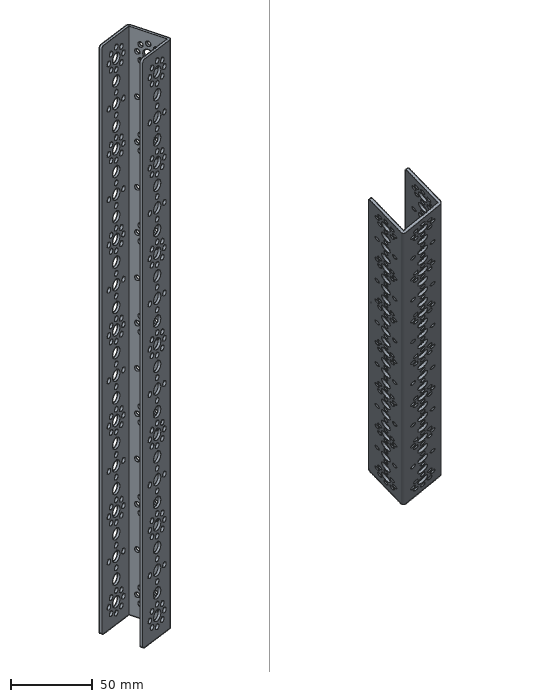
import cadquery as cq

length = 416.0
pitch_count = 26
wall = 2.0
corner_radius = 2.0
large_diameter = 8.0
small_diameter = 3.7

pitch = length / pitch_count
width = 2 * pitch
ring_radius = pitch / 2
diagonal_offset = ring_radius / 2**0.5
drill_depth = width


def channel():
    """U channel with its web on +Y, its open side on -Y and sharp inside corners."""
    outside = cq.Workplane("XY").box(width, width, length).edges("|Z and >Y").fillet(corner_radius)
    inside = cq.Workplane("XY").box(width - 2 * wall, width, length).translate((0, -wall, 0))
    return outside.cut(inside).faces("<Y").edges("|X").fillet(corner_radius)


def large_hole_heights():
    """Z positions of the large holes, one pitch apart and one pitch from each end."""
    return [index * pitch - length / 2 for index in range(1, pitch_count)]


def small_hole_points():
    """Centres of the small holes on one face as (across, along) pairs."""
    heights = large_hole_heights()

    points = [(0, index * pitch + pitch / 2 - length / 2) for index in range(pitch_count)]

    for height in heights[::2]:
        points += [(side * ring_radius, height) for side in (-1, 1)]

    for height in heights[::4]:
        for side in (-1, 1):
            for end in (-1, 1):
                points.append((side * diagonal_offset, height + end * diagonal_offset))
    return points


def drills(plane, points, diameter):
    """Cylinders through the whole channel, perpendicular to the given plane."""
    return cq.Workplane(plane).pushPoints(points).circle(diameter / 2).extrude(drill_depth, both=True)


large_holes = [(0, height) for height in large_hole_heights()]
small_holes = small_hole_points()

result = channel()
for plane in ("XZ", "YZ"):
    result = result.cut(drills(plane, large_holes, large_diameter))
    result = result.cut(drills(plane, small_holes, small_diameter))